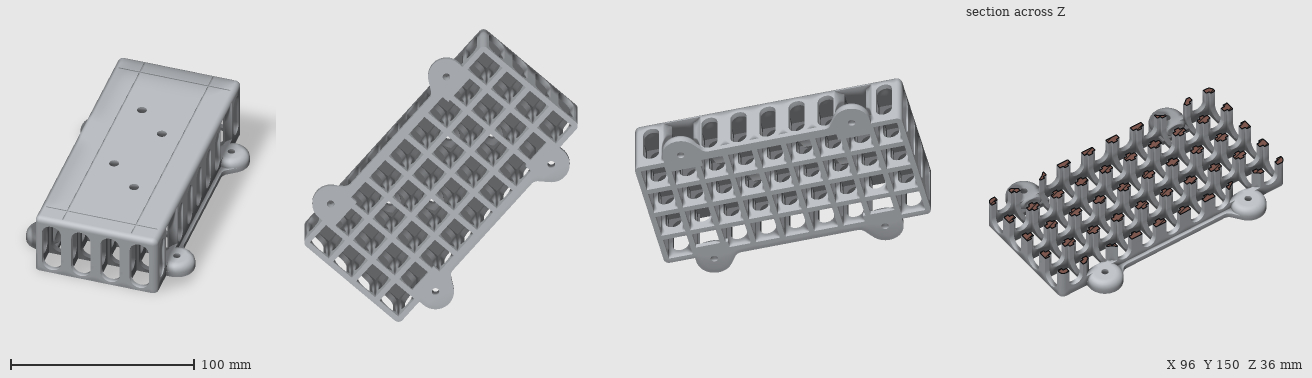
import cadquery as cq
import math

length = 150.0
height = 36.0
width = 70.0
wall = 3.0
roof = 3.0
edge_radius = 3.0
cells_x = 4
cells_y = 9
pitch_x = (width - wall) / cells_x
pitch_y = (length - wall) / cells_y
overlap = 1.5

side_slot_width = 9.0
side_slot_bottom = 5.5
side_slot_top = 30.6
end_slot_width = 11.0
end_slot_bottom = 2.0
end_slot_top = 32.0

overall_width = 96.0
foot_radius = 10.0
foot_x = overall_width / 2 - foot_radius
foot_y = 48.0
foot_height = 7.0
foot_edge_radius = 4.0
foot_hole_diameter = 4.0
rail_height = 3.0
rail_x = 37.0
blend_radius = 4.5
blend_angle = math.radians(54)

clearance_radius = 14.0
clearance_x = 44.4

roof_hole_diameter = 5.4
boss_diameter = 12.0
boss_bottom = 29.1
groove_width = 0.8
groove_depth = 0.5
groove_x = 19.6
groove_y = 63.9

wall_middle_x = width / 2 - wall / 2
column_x = [(i - (cells_x - 1) / 2) * pitch_x for i in range(cells_x)]
row_y = [(i - (cells_y - 1) / 2) * pitch_y for i in range(cells_y)]
left_x, right_x = column_x[1], column_x[2]
roof_holes = [(left_x, row_y[6]), (right_x, row_y[5]), (left_x, row_y[3]), (right_x, row_y[2])]


def make_box():
    """Rounded block hollowed from below into a grid of rectangular cells."""
    block = cq.Workplane("XY").box(width, length, height, centered=(True, True, False))
    block = block.edges("|Z or >Z").fillet(edge_radius)
    cells = (
        cq.Workplane("XY")
        .rarray(pitch_x, pitch_y, cells_x, cells_y)
        .rect(pitch_x - wall, pitch_y - wall)
        .extrude(height - roof)
    )
    return block.cut(cells)


def make_slots(plane, centers, slot_width, bottom, top, reach):
    """Vertical slots running right across the box."""
    middle = (bottom + top) / 2
    return (
        cq.Workplane(plane)
        .pushPoints([(center, middle) for center in centers])
        .slot2D(top - bottom, slot_width, 90)
        .extrude(reach / 2 + overlap, both=True)
    )


def make_bosses():
    """Round pads that thicken the roof around its holes."""
    return (
        cq.Workplane("XY", origin=(0, 0, boss_bottom))
        .pushPoints(roof_holes)
        .circle(boss_diameter / 2)
        .extrude(height - roof / 2 - boss_bottom)
    )


def make_foot():
    """Round domed foot on the +X side at +Y, its low base squared off towards the box."""
    dome = (
        cq.Workplane("XY")
        .center(foot_x, foot_y)
        .circle(foot_radius)
        .extrude(foot_height)
        .faces(">Z")
        .edges()
        .fillet(foot_edge_radius)
    )
    base = (
        cq.Workplane("XY")
        .center(foot_x - foot_radius / 2, foot_y)
        .rect(foot_radius, 2 * foot_radius)
        .extrude(rail_height)
    )
    return dome.union(base)


def make_half_rail():
    """+Y half of the low rail on the +X side, flaring smoothly into the foot."""
    flare_x = foot_x + foot_radius * math.cos(blend_angle)
    flare_y = foot_y - foot_radius * math.sin(blend_angle)
    bend_x = rail_x + blend_radius * (1 - math.cos(blend_angle))
    bend_y = flare_y - (flare_x - bend_x) / math.tan(blend_angle)
    rail_y = bend_y - blend_radius * math.sin(blend_angle)
    arc_x = rail_x + blend_radius * (1 - math.cos(blend_angle / 2))
    arc_y = rail_y + blend_radius * math.sin(blend_angle / 2)
    return (
        cq.Workplane("XY")
        .moveTo(wall_middle_x, foot_y)
        .lineTo(foot_x, foot_y)
        .lineTo(flare_x, flare_y)
        .lineTo(bend_x, bend_y)
        .threePointArc((arc_x, arc_y), (rail_x, rail_y))
        .lineTo(rail_x, 0)
        .lineTo(wall_middle_x, 0)
        .close()
        .extrude(rail_height)
    )


def make_grooves():
    """Shallow line grooves crossing the flat of the roof, clear of its rounded edges."""
    flat_width = width - 2 * edge_radius
    flat_length = length - 2 * edge_radius
    top = cq.Workplane("XY", origin=(0, 0, height))
    lengthwise = (
        top.pushPoints([(-groove_x, 0), (groove_x, 0)])
        .rect(groove_width, flat_length)
        .extrude(-groove_depth)
    )
    crosswise = (
        top.pushPoints([(0, -groove_y), (0, groove_y)])
        .rect(flat_width, groove_width)
        .extrude(-groove_depth)
    )
    return lengthwise.union(crosswise)


def on_four_corners(body):
    """The body together with its mirror images across both middle planes."""
    pair = body.union(body.mirror("YZ"))
    return pair.union(pair.mirror("XZ"))


def cylinders(points, diameter, bottom):
    """Vertical cylinders from the given level to above the roof."""
    return (
        cq.Workplane("XY", origin=(0, 0, bottom))
        .pushPoints(points)
        .circle(diameter / 2)
        .extrude(height + overlap - bottom)
    )


foot_centers = [(x, y) for x in (-foot_x, foot_x) for y in (-foot_y, foot_y)]
clearance = (
    cq.Workplane("XY", origin=(0, 0, foot_height))
    .center(clearance_x, foot_y)
    .circle(clearance_radius)
    .extrude(height - roof - foot_height)
)

side_slots = make_slots("YZ", row_y, side_slot_width, side_slot_bottom, side_slot_top, width)
end_slots = make_slots("XZ", column_x, end_slot_width, end_slot_bottom, end_slot_top, length)
feet_and_rails = on_four_corners(make_foot().union(make_half_rail()))

result = make_box().cut(side_slots).cut(on_four_corners(clearance))
result = result.union(make_bosses()).union(feet_and_rails).cut(end_slots)
result = result.cut(cylinders(foot_centers, foot_hole_diameter, -overlap))
result = result.cut(cylinders(roof_holes, roof_hole_diameter, boss_bottom - overlap))
result = result.cut(make_grooves())